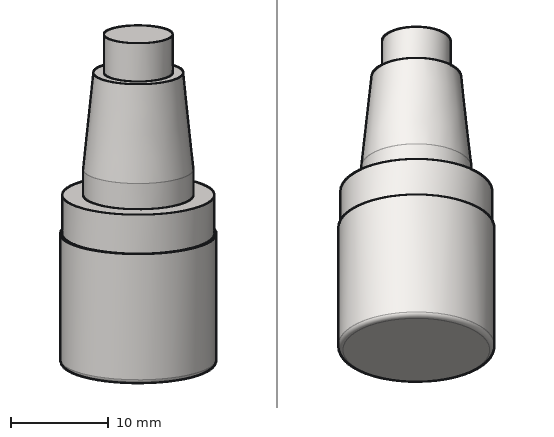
import cadquery as cq

shell_height = 13.8
collar_top = 17.9
neck_top = 20.63
boot_top = 30.85
overall_height = 34.9

shell_diameter = 16.0
collar_diameter = 15.55
neck_diameter = 11.3
boot_tip_diameter = 9.2
cable_diameter = 7.05

rim_fillet = 0.5


def make_shell():
    """Cylindrical shell with a rounded lower rim."""
    shell_blank = cq.Workplane("XY").circle(shell_diameter / 2).extrude(shell_height)
    return shell_blank.faces("<Z").edges().fillet(rim_fillet)


def make_boot():
    """Collar, neck and tapered boot with the cable stub, turned about Z and seated on the shell."""
    return (
        cq.Workplane("XZ")
        .moveTo(0, shell_height)
        .lineTo(collar_diameter / 2, shell_height)
        .lineTo(collar_diameter / 2, collar_top)
        .lineTo(neck_diameter / 2, collar_top)
        .lineTo(neck_diameter / 2, neck_top)
        .lineTo(boot_tip_diameter / 2, boot_top)
        .lineTo(cable_diameter / 2, boot_top)
        .lineTo(cable_diameter / 2, overall_height)
        .lineTo(0, overall_height)
        .close()
        .revolve(360, (0, 0, 0), (0, 1, 0))
    )


shell = make_shell()
boot = make_boot()

result = cq.Compound.makeCompound([shell.val(), boot.val()])